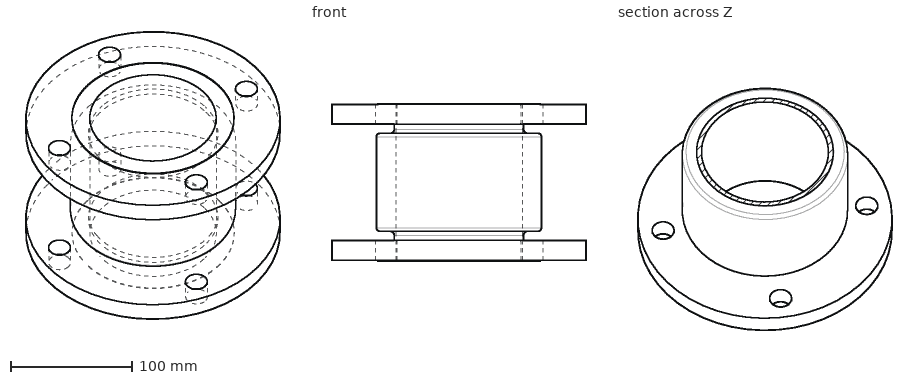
import cadquery as cq

flange_diameter = 210.0
flange_thickness = 16.4
bolt_circle_diameter = 170.0
bolt_hole_diameter = 18.0
bolt_hole_count = 4
first_bolt_angle = 45.0

raised_face_diameter = 134.0
raised_face_height = 0.6

overall_height = 130.0
bore_diameter = 104.4
neck_diameter = 107.0
body_diameter = 136.5
body_height = 81.0
neck_fillet_radius = 3.2
body_fillet_radius = 3.0

flange_top = overall_height / 2 - raised_face_height
flange_bottom = flange_top - flange_thickness
body_top = body_height / 2


def tube():
    """Tube between the flanges: thick body with rounded shoulders, filleted into a neck at each end."""
    bore_radius = bore_diameter / 2
    neck_radius = neck_diameter / 2
    body_radius = body_diameter / 2
    fillet_foot_radius = neck_radius + neck_fillet_radius
    shoulder_radius = body_radius - body_fillet_radius
    fillet_top = body_top + neck_fillet_radius
    shoulder_start = body_top - body_fillet_radius
    return (
        cq.Workplane("XZ")
        .moveTo(bore_radius, -flange_bottom)
        .lineTo(neck_radius, -flange_bottom)
        .lineTo(neck_radius, -fillet_top)
        .radiusArc((fillet_foot_radius, -body_top), neck_fillet_radius)
        .lineTo(shoulder_radius, -body_top)
        .radiusArc((body_radius, -shoulder_start), -body_fillet_radius)
        .lineTo(body_radius, shoulder_start)
        .radiusArc((shoulder_radius, body_top), -body_fillet_radius)
        .lineTo(fillet_foot_radius, body_top)
        .radiusArc((neck_radius, fillet_top), neck_fillet_radius)
        .lineTo(neck_radius, flange_bottom)
        .lineTo(bore_radius, flange_bottom)
        .close()
        .revolve(360, (0, 0, 0), (0, 1, 0))
    )


def upper_flange():
    """Drilled flange ring with a shallow raised face on its outer side."""
    ring = (
        cq.Workplane("XY")
        .workplane(offset=flange_bottom)
        .circle(flange_diameter / 2)
        .circle(bore_diameter / 2)
        .extrude(flange_thickness)
    )
    bolt_holes = (
        cq.Workplane("XY")
        .workplane(offset=flange_bottom)
        .polarArray(bolt_circle_diameter / 2, first_bolt_angle, 360, bolt_hole_count)
        .circle(bolt_hole_diameter / 2)
        .extrude(flange_thickness)
    )
    raised_face = (
        cq.Workplane("XY")
        .workplane(offset=flange_top)
        .circle(raised_face_diameter / 2)
        .circle(bore_diameter / 2)
        .extrude(raised_face_height)
    )
    return ring.cut(bolt_holes).union(raised_face)


top_flange = upper_flange()
bottom_flange = top_flange.mirror("XY")

result = tube().union(top_flange).union(bottom_flange).clean()